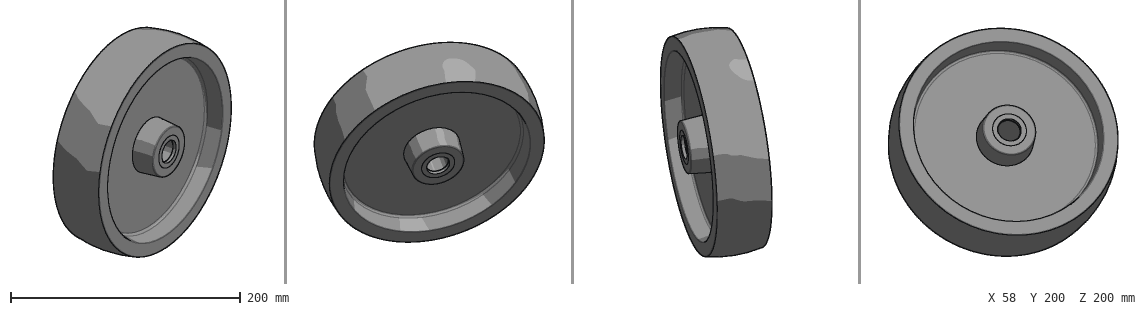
import cadquery as cq

wheel_radius = 100.0
tread_edge_radius = 97.2
tread_width = 50.0
tread_edge_round = 0.5

web_thickness = 16.0
rim_mouth_radius = 84.5
rim_root_radius = 82.2
rim_edge_round = 0.5
web_fillet = 2.2

hub_length = 58.0
hub_end_radius = 23.5
hub_root_radius = 25.5
hub_edge_round = 0.8

bearing_radius = 15.0
cap_thickness = 3.2
cap_bore_radius = 10.5
tube_bore_radius = 10.0

half_tread = tread_width / 2
half_web = web_thickness / 2
half_hub = hub_length / 2
tube_length = hub_length - 2 * cap_thickness


def circle_edges_at(body, x, radius):
    """Select the circular edges of a body near a given X plane and radius."""
    tolerance = 0.02
    edges = [
        edge for edge in body.edges("%CIRCLE").vals()
        if abs(edge.Center().x - x) < tolerance and abs(edge.radius() - radius) < tolerance
    ]
    return body.newObject(edges)


def make_wheel():
    """Revolve the crowned rim, web and hub, then round their edges."""
    body = (
        cq.Workplane("XY")
        .moveTo(-half_hub, bearing_radius)
        .lineTo(-half_hub, hub_end_radius)
        .lineTo(-half_web, hub_root_radius)
        .lineTo(-half_web, rim_root_radius)
        .lineTo(-half_tread, rim_mouth_radius)
        .lineTo(-half_tread, tread_edge_radius)
        .threePointArc((0, wheel_radius), (half_tread, tread_edge_radius))
        .lineTo(half_tread, rim_mouth_radius)
        .lineTo(half_web, rim_root_radius)
        .lineTo(half_web, hub_root_radius)
        .lineTo(half_hub, hub_end_radius)
        .lineTo(half_hub, bearing_radius)
        .close()
        .revolve(360, (0, 0, 0), (1, 0, 0))
    )
    for side in (-1, 1):
        body = circle_edges_at(body, side * half_web, rim_root_radius).fillet(web_fillet)
        body = circle_edges_at(body, side * half_tread, rim_mouth_radius).fillet(rim_edge_round)
        body = circle_edges_at(body, side * half_tread, tread_edge_radius).fillet(tread_edge_round)
        body = circle_edges_at(body, side * half_hub, hub_end_radius).fillet(hub_edge_round)
    return body


def make_sleeve(start_x, length, bore_radius):
    """Make a ring that fills the hub bore over a length along X."""
    return (
        cq.Workplane("YZ", origin=(start_x, 0, 0))
        .circle(bearing_radius)
        .circle(bore_radius)
        .extrude(length)
    )


wheel = make_wheel()
bearing_tube = make_sleeve(-tube_length / 2, tube_length, tube_bore_radius)

end_caps = []
for cap_start in (-half_hub, tube_length / 2):
    end_caps.append(make_sleeve(cap_start, cap_thickness, cap_bore_radius).val())

result = cq.Compound.makeCompound([wheel.val(), bearing_tube.val(), *end_caps])